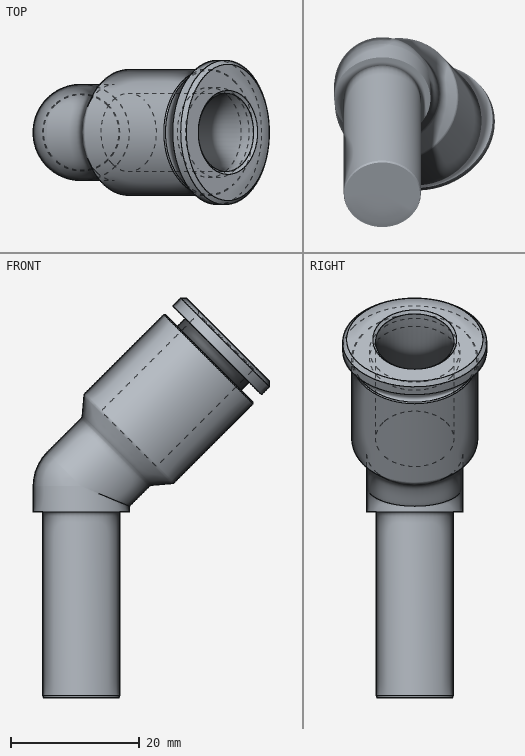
import cadquery as cq
import math

BEND_ANGLE = 45.0
OVERALL_HEIGHT = 62.3

ELBOW_RADIUS = 15.0 / 2
COLLAR_DEPTH = 4.0

BODY_RADIUS = 19.7 / 2
BODY_START = 10.45
BODY_END = 28.2
BODY_CHAMFER = 0.2
SHOULDER_HALF_ANGLE = 40.0
SHOULDER_FILLET = 0.6
SHOULDER_LENGTH = (BODY_RADIUS - ELBOW_RADIUS) / math.tan(math.radians(SHOULDER_HALF_ANGLE))
SHOULDER_START = BODY_START - SHOULDER_LENGTH

NECK_RADIUS = 14.1 / 2
FLANGE_START = 30.0
FLANGE_END = 32.35
FLANGE_HALF_WIDTH = 22.5 / 2
FLANGE_HALF_HEIGHT = 19.55 / 2
FLANGE_CHAMFER = 0.6

BORE_RADIUS = 12.2 / 2
BORE_END = BODY_START
BORE_CHAMFER = 0.45

HEAD_TOP = (
    FLANGE_END * math.cos(math.radians(BEND_ANGLE))
    + (FLANGE_HALF_HEIGHT - FLANGE_CHAMFER) * math.sin(math.radians(BEND_ANGLE))
)
STEM_RADIUS = 12.0 / 2
STEM_LENGTH = OVERALL_HEIGHT - HEAD_TOP
STEM_TAPER_HEIGHT = 0.4
STEM_TAPER_INSET = 0.1


def make_turned(profile):
    """Revolve a closed (radius, height) outline about Z."""
    return cq.Workplane("XZ").polyline(profile).close().revolve(360, (0, 0, 0), (0, 1, 0))


def make_body():
    """Head body on +Z: elbow tube, conical shoulder with rounded edges and barrel."""
    body = make_turned([
        (0, 0),
        (ELBOW_RADIUS, 0),
        (ELBOW_RADIUS, SHOULDER_START),
        (BODY_RADIUS, BODY_START),
        (BODY_RADIUS, BODY_END),
        (0, BODY_END),
    ])
    body = body.faces("%CONE").edges("%CIRCLE").fillet(SHOULDER_FILLET)
    return body.faces(">Z").edges().chamfer(BODY_CHAMFER)


def make_sleeve():
    """Neck and chamfered oval flange on +Z."""
    neck = cq.Workplane("XY").circle(NECK_RADIUS).extrude(FLANGE_END)
    flange = (
        cq.Workplane("XY", origin=(0, 0, FLANGE_START))
        .ellipse(FLANGE_HALF_HEIGHT, FLANGE_HALF_WIDTH)
        .extrude(FLANGE_END - FLANGE_START)
        .faces(">Z")
        .chamfer(FLANGE_CHAMFER)
    )
    return neck.union(flange)


def make_bore():
    """Blind tube bore on +Z with a chamfered mouth at the flange face."""
    return make_turned([
        (0, BORE_END),
        (BORE_RADIUS, BORE_END),
        (BORE_RADIUS, FLANGE_END - BORE_CHAMFER),
        (BORE_RADIUS + BORE_CHAMFER, FLANGE_END),
        (0, FLANGE_END),
    ])


def make_head():
    """Body and sleeve with the bore cut, swung over from +Z to the head axis."""
    head = make_body().union(make_sleeve()).cut(make_bore())
    return head.rotate((0, 0, 0), (0, 1, 0), BEND_ANGLE)


def make_elbow(head):
    """Join the head to the ball and collar, trimmed flat at the collar's lower face."""
    ball = cq.Workplane("XY").sphere(ELBOW_RADIUS)
    collar = cq.Workplane("XY").circle(ELBOW_RADIUS).extrude(-COLLAR_DEPTH)
    below_collar = (
        cq.Workplane("XY", origin=(0, 0, -COLLAR_DEPTH))
        .rect(4 * ELBOW_RADIUS, 4 * ELBOW_RADIUS)
        .extrude(-2 * ELBOW_RADIUS)
    )
    return collar.union(ball).union(head).cut(below_collar)


def make_stem():
    """Plain round stem with a slight lead-in taper at its lower end."""
    return make_turned([
        (0, 0),
        (STEM_RADIUS, 0),
        (STEM_RADIUS, STEM_TAPER_HEIGHT - STEM_LENGTH),
        (STEM_RADIUS - STEM_TAPER_INSET, -STEM_LENGTH),
        (0, -STEM_LENGTH),
    ])


result = make_elbow(make_head()).union(make_stem())